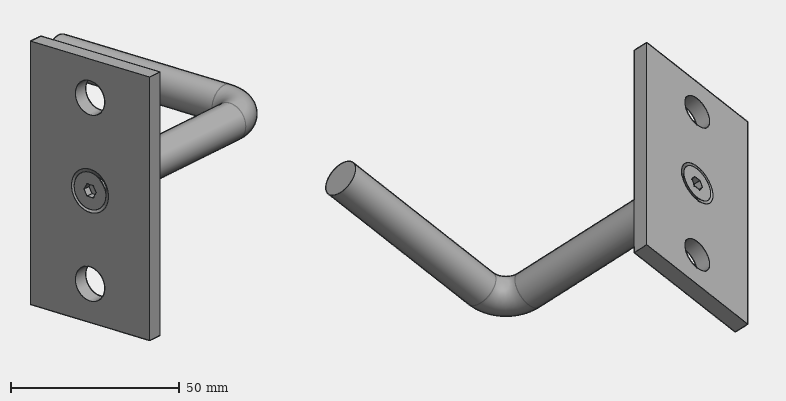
import cadquery as cq
import math

plate_width = 45.0
plate_height = 85.0
plate_thickness = 5.0
mount_hole_diameter = 11.0
mount_hole_spacing = 60.0

overall_length = 95.0
overall_depth = 83.5
rod_diameter = 12.0
bend_radius = 10.0
arm_end_x = plate_width / 2 - overall_length
arm_axis_y = overall_depth - rod_diameter / 2

screw_diameter = 6.0
head_diameter = 12.0
socket_across_flats = 4.0
socket_corner_diameter = socket_across_flats / math.cos(math.radians(30))
socket_depth = 2.5
thread_length = 12.0
countersink_diameter = 14.0
head_cone_height = (head_diameter - screw_diameter) / 2
countersink_depth = (countersink_diameter - screw_diameter) / 2
screw_tip_y = plate_thickness + thread_length


def cylinder_along_y(diameter, start_y, end_y, x=0, z=0):
    return cq.Workplane(
        cq.Solid.makeCylinder(
            diameter / 2, end_y - start_y, cq.Vector(x, start_y, z), cq.Vector(0, 1, 0)
        )
    )


def cone_along_y(start_diameter, end_diameter, start_y, end_y):
    return cq.Workplane(
        cq.Solid.makeCone(
            start_diameter / 2,
            end_diameter / 2,
            end_y - start_y,
            cq.Vector(0, start_y, 0),
            cq.Vector(0, 1, 0),
        )
    )


def make_plate():
    plate = cq.Workplane("XY").box(
        plate_width, plate_thickness, plate_height, centered=(True, False, True)
    )
    for side in (-1, 1):
        hole_z = side * mount_hole_spacing / 2
        plate = plate.cut(cylinder_along_y(mount_hole_diameter, 0, plate_thickness, z=hole_z))
    plate = plate.cut(cone_along_y(countersink_diameter, screw_diameter, 0, countersink_depth))
    return plate.cut(cylinder_along_y(screw_diameter, countersink_depth, plate_thickness))


def make_rod():
    path = (
        cq.Workplane("XY")
        .moveTo(0, plate_thickness)
        .lineTo(0, arm_axis_y - bend_radius)
        .tangentArcPoint((-bend_radius, arm_axis_y), relative=False)
        .lineTo(arm_end_x, arm_axis_y)
    )
    rod = (
        cq.Workplane("XZ", origin=(0, plate_thickness, 0))
        .circle(rod_diameter / 2)
        .sweep(path)
    )
    return rod.cut(cylinder_along_y(screw_diameter, plate_thickness, screw_tip_y))


def make_screw():
    head = cone_along_y(head_diameter, screw_diameter, 0, head_cone_height)
    shank = cylinder_along_y(screw_diameter, head_cone_height, screw_tip_y)
    socket = (
        cq.Workplane("XZ")
        .polygon(6, socket_corner_diameter)
        .extrude(-socket_depth)
    )
    return head.union(shank).cut(socket)


plate = make_plate()
rod = make_rod()
screw = make_screw()

result = cq.Compound.makeCompound([plate.val(), rod.val(), screw.val()])